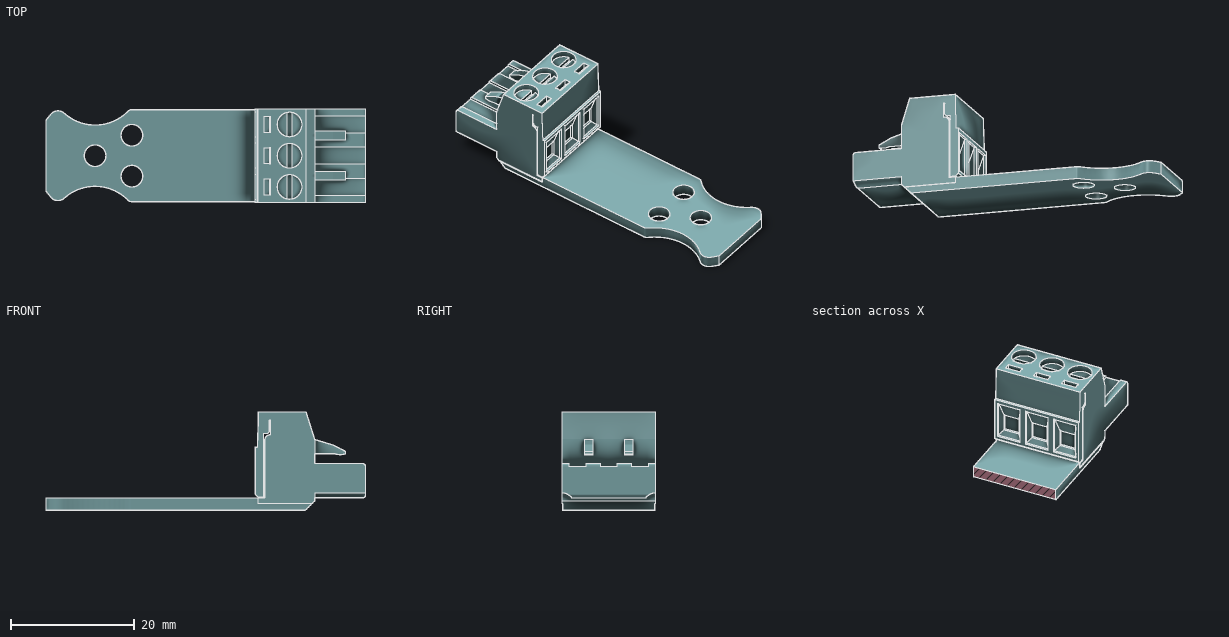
import cadquery as cq
import math

TOTAL_LENGTH = 52.0
TOTAL_HEIGHT = 16.0
BODY_WIDTH = 15.25
POLE_COUNT = 3
POLE_PITCH = BODY_WIDTH / POLE_COUNT
POLE_CENTRES = [POLE_PITCH * (i - (POLE_COUNT - 1) / 2) for i in range(POLE_COUNT)]

BOARD_WIDTH = 15.0
BOARD_THICKNESS = 2.05
WAIST_X = 8.0
WAIST_HALF_WIDTH = 5.0
WAIST_RADIUS = 7.5
TIP_X = 2.0
TIP_RADIUS = 1.5
TIP_BEVEL_ANGLE = 51.0
SHOULDER_RADIUS = 0.8
HOLE_DIAMETER = 3.5
HOLE_PAIR_X = 14.0
HOLE_PAIR_OFFSET = 3.35

BODY_FRONT_X = 34.55
BODY_BACK_X = 43.75
BODY_BOTTOM_Z = 1.1
TOP_BACK_X = 42.35
SLANT_END_Z = 11.55
HEEL_CHAMFER = 1.55

GAP = 0.15
PANEL_FRONT_X = 34.0
PANEL_LEDGE_X = 34.35
PANEL_LEDGE_Z = 10.3
PANEL_BACK_X = 35.4
PANEL_BOTTOM_Z = BOARD_THICKNESS + GAP
PANEL_CHAMFER = 0.45
HOOK_BACK_X = 36.35
HOOK_TOP_Z = 14.65
HOOK_BOTTOM_Z = 12.5
HOOK_CHAMFER = 0.3

ENTRY_WIDTH = 4.05
ENTRY_BOTTOM_Z = 3.2
ENTRY_TOP_Z = 9.6
THROAT_WIDTH = 2.7
THROAT_BOTTOM_Z = 4.05
THROAT_TOP_Z = 6.95
ENTRY_RIM_DEPTH = 0.35
FUNNEL_DEPTH = 0.7

SCREW_X = 39.6
SCREW_DIAMETER = 4.0
SCREW_RECESS = 1.15
SCREW_SLOT_WIDTH = 0.8
SCREW_SLOT_DEPTH = 0.8
WINDOW_FRONT_X = 35.45
WINDOW_WIDTH = 2.55
WINDOW_RAMP_DROP = 1.05

PLUG_BOTTOM_Z = 2.05
PLUG_TOP_Z = 7.65
PLUG_CORNER_RADIUS = 0.5
CHANNEL_DEPTH = 0.5
CHANNEL_WIDTH = 2.75
COVE_DIAMETER = 4.0
COVE_TOP_Z = 2.85

LATCH_OFFSET = 3.3
LATCH_WIDTH = 1.4
LATCH_BEND_X = 46.7
LATCH_BEND_Z = 10.65
LATCH_BEND_LENGTH = 0.3
LATCH_BEND_DROP = 0.15
LATCH_TIP_X = 48.7
LATCH_TIP_Z = 9.6
LATCH_BOTTOM_Z = 9.2
LATCH_BUMP_X = 46.95
LATCH_BUMP_DROP = 0.15


def prism(points, width, centre_y=0.0):
    """Extrude an X-Z outline across Y, centred on centre_y."""
    outline = cq.Workplane("XZ").polyline(points).close()
    return outline.extrude(width / 2, both=True).translate((0, centre_y, 0))


def block(x_min, x_max, centre_y, width, z_min, z_max):
    """Box given by its X and Z limits and its centre and width in Y."""
    box = cq.Workplane("XY").box(x_max - x_min, width, z_max - z_min, centered=(False, True, False))
    return box.translate((x_min, centre_y, z_min))


def on_circle(centre, radius, angle):
    """Point on a circle at an angle in degrees from the X direction."""
    turn = math.radians(angle)
    return centre[0] + radius * math.cos(turn), centre[1] + radius * math.sin(turn)


def make_board():
    half_width = BOARD_WIDTH / 2
    waist_centre_y = WAIST_HALF_WIDTH + WAIST_RADIUS

    tangent_run = WAIST_X - TIP_X
    tangent_rise = math.sqrt((WAIST_RADIUS + TIP_RADIUS) ** 2 - tangent_run ** 2)
    tip_centre = (TIP_X, waist_centre_y - tangent_rise)
    tangent_angle = math.degrees(math.atan2(tangent_rise, tangent_run))
    bevel_normal = 90 + TIP_BEVEL_ANGLE

    bevel_end = on_circle(tip_centre, TIP_RADIUS, bevel_normal)
    tip_peak = on_circle(tip_centre, TIP_RADIUS, 90)
    waist_start = on_circle(tip_centre, TIP_RADIUS, tangent_angle)
    corner_y = bevel_end[1] - bevel_end[0] * math.tan(math.radians(TIP_BEVEL_ANGLE))
    shoulder_x = WAIST_X + math.sqrt(WAIST_RADIUS ** 2 - (waist_centre_y - half_width) ** 2)

    half = (
        cq.Workplane("XY")
        .lineTo(0, corner_y)
        .lineTo(*bevel_end)
        .threePointArc(tip_peak, waist_start)
        .threePointArc((WAIST_X, WAIST_HALF_WIDTH), (shoulder_x, half_width))
        .lineTo(BODY_BACK_X, half_width)
        .lineTo(BODY_BACK_X, 0)
        .close()
        .extrude(BOARD_THICKNESS)
    )
    shoulder = cq.selectors.NearestToPointSelector((shoulder_x, half_width, BOARD_THICKNESS / 2))
    half = half.edges("|Z").edges(shoulder).fillet(SHOULDER_RADIUS)
    board = half.union(half.mirror("XZ"))

    hole_places = [(WAIST_X, 0), (HOLE_PAIR_X, HOLE_PAIR_OFFSET), (HOLE_PAIR_X, -HOLE_PAIR_OFFSET)]
    holes = cq.Workplane("XY").pushPoints(hole_places).circle(HOLE_DIAMETER / 2).extrude(BOARD_THICKNESS)
    return board.cut(holes)


def make_body():
    cavity_x = PANEL_BACK_X + GAP
    hook_cavity_x = HOOK_BACK_X + GAP
    lip_z = HOOK_BOTTOM_Z - GAP
    lip_radius = hook_cavity_x - cavity_x
    lip_arc_middle = on_circle((hook_cavity_x, lip_z - lip_radius), lip_radius, 135)
    return (
        cq.Workplane("XZ")
        .moveTo(BODY_FRONT_X, BODY_BOTTOM_Z)
        .lineTo(BODY_FRONT_X, BOARD_THICKNESS)
        .lineTo(cavity_x, BOARD_THICKNESS)
        .lineTo(cavity_x, lip_z - lip_radius)
        .threePointArc(lip_arc_middle, (hook_cavity_x, lip_z))
        .lineTo(hook_cavity_x, HOOK_TOP_Z)
        .lineTo(BODY_FRONT_X, HOOK_TOP_Z)
        .lineTo(BODY_FRONT_X, TOTAL_HEIGHT)
        .lineTo(TOP_BACK_X, TOTAL_HEIGHT)
        .lineTo(BODY_BACK_X, SLANT_END_Z)
        .lineTo(BODY_BACK_X, BODY_BOTTOM_Z)
        .close()
        .extrude(BODY_WIDTH / 2, both=True)
    )


def make_panel():
    return prism(
        [
            (PANEL_FRONT_X + PANEL_CHAMFER, PANEL_BOTTOM_Z),
            (PANEL_FRONT_X, PANEL_BOTTOM_Z + PANEL_CHAMFER),
            (PANEL_FRONT_X, PANEL_LEDGE_Z),
            (PANEL_LEDGE_X, PANEL_LEDGE_Z),
            (BODY_FRONT_X, HOOK_TOP_Z),
            (HOOK_BACK_X, HOOK_TOP_Z),
            (HOOK_BACK_X, HOOK_BOTTOM_Z + HOOK_CHAMFER),
            (HOOK_BACK_X - HOOK_CHAMFER, HOOK_BOTTOM_Z),
            (PANEL_BACK_X, HOOK_BOTTOM_Z),
            (PANEL_BACK_X, PANEL_BOTTOM_Z),
        ],
        BODY_WIDTH,
    )


def make_wire_entry(centre_y):
    """Straight rim, then a funnel, then a throat through the panel."""
    funnel_x = PANEL_FRONT_X + ENTRY_RIM_DEPTH
    throat_x = funnel_x + FUNNEL_DEPTH
    entry_height = ENTRY_TOP_Z - ENTRY_BOTTOM_Z
    throat_height = THROAT_TOP_Z - THROAT_BOTTOM_Z
    throat_shift = (THROAT_TOP_Z + THROAT_BOTTOM_Z - ENTRY_TOP_Z - ENTRY_BOTTOM_Z) / 2
    funnel = (
        cq.Workplane("YZ", origin=(funnel_x, centre_y, ENTRY_BOTTOM_Z + entry_height / 2))
        .rect(ENTRY_WIDTH, entry_height)
        .workplane(offset=FUNNEL_DEPTH)
        .center(0, throat_shift)
        .rect(THROAT_WIDTH, throat_height)
        .loft(ruled=True)
    )
    rim = block(PANEL_FRONT_X, funnel_x, centre_y, ENTRY_WIDTH, ENTRY_BOTTOM_Z, ENTRY_TOP_Z)
    throat = block(throat_x, PANEL_BACK_X, centre_y, THROAT_WIDTH, THROAT_BOTTOM_Z, THROAT_TOP_Z)
    return funnel.union(rim).union(throat)


def make_screw_recess(centre_y):
    """Round recess down to the screw head, with the driver slot below it."""
    head_z = TOTAL_HEIGHT - SCREW_RECESS
    place = cq.Workplane("XY", origin=(SCREW_X, centre_y, head_z))
    recess = place.circle(SCREW_DIAMETER / 2).extrude(SCREW_RECESS)
    slot = place.rect(SCREW_SLOT_WIDTH, SCREW_DIAMETER).extrude(-SCREW_SLOT_DEPTH)
    disc = place.circle(SCREW_DIAMETER / 2).extrude(-SCREW_SLOT_DEPTH)
    return recess.union(slot.intersect(disc))


def make_window(centre_y):
    """Window with a ramped floor that ends in the gap behind the hook."""
    return prism(
        [
            (WINDOW_FRONT_X, TOTAL_HEIGHT),
            (HOOK_BACK_X, TOTAL_HEIGHT - WINDOW_RAMP_DROP),
            (HOOK_BACK_X, HOOK_TOP_Z),
            (HOOK_BACK_X + GAP, HOOK_TOP_Z),
            (HOOK_BACK_X + GAP, TOTAL_HEIGHT),
        ],
        WINDOW_WIDTH,
        centre_y,
    )


def make_plug():
    cove_radius = COVE_DIAMETER / 2
    plug = block(TOP_BACK_X, TOTAL_LENGTH, 0, BODY_WIDTH, PLUG_BOTTOM_Z, PLUG_TOP_Z)
    plug = plug.edges("|Y and >X").fillet(PLUG_CORNER_RADIUS)
    for centre_y in POLE_CENTRES:
        floor_z = PLUG_TOP_Z - CHANNEL_DEPTH
        plug = plug.cut(block(BODY_BACK_X, TOTAL_LENGTH, centre_y, CHANNEL_WIDTH, floor_z, PLUG_TOP_Z))
    for side in (-1, 1):
        axis_start = (BODY_BACK_X, side * BODY_WIDTH / 2, COVE_TOP_Z - cove_radius)
        cove = cq.Workplane("YZ", origin=axis_start).circle(cove_radius).extrude(TOTAL_LENGTH - BODY_BACK_X)
        plug = plug.cut(cove)
    return plug


def make_latch(centre_y):
    arm = (
        cq.Workplane("XZ")
        .moveTo(TOP_BACK_X, LATCH_BOTTOM_Z)
        .lineTo(TOP_BACK_X, SLANT_END_Z)
        .lineTo(BODY_BACK_X, SLANT_END_Z)
        .lineTo(LATCH_BEND_X, LATCH_BEND_Z)
        .lineTo(LATCH_BEND_X + LATCH_BEND_LENGTH, LATCH_BEND_Z - LATCH_BEND_DROP)
        .lineTo(LATCH_TIP_X, LATCH_TIP_Z)
        .lineTo(LATCH_TIP_X, LATCH_BOTTOM_Z)
        .threePointArc(
            ((LATCH_TIP_X + LATCH_BUMP_X) / 2, LATCH_BOTTOM_Z - LATCH_BUMP_DROP),
            (LATCH_BUMP_X, LATCH_BOTTOM_Z),
        )
        .close()
        .extrude(LATCH_WIDTH / 2, both=True)
    )
    return arm.translate((0, centre_y, 0))


def make_heel_cut():
    """Wedge that bevels the lower back edge of the board and body together."""
    return prism(
        [
            (BODY_BACK_X - HEEL_CHAMFER, 0),
            (BODY_BACK_X, HEEL_CHAMFER),
            (BODY_BACK_X, 0),
        ],
        BODY_WIDTH,
    )


result = make_board().union(make_body()).union(make_panel())
for pole_y in POLE_CENTRES:
    result = result.cut(make_wire_entry(pole_y))
    result = result.cut(make_screw_recess(pole_y))
    result = result.cut(make_window(pole_y))
result = result.cut(make_heel_cut()).union(make_plug())
for latch_y in (-LATCH_OFFSET, LATCH_OFFSET):
    result = result.union(make_latch(latch_y))